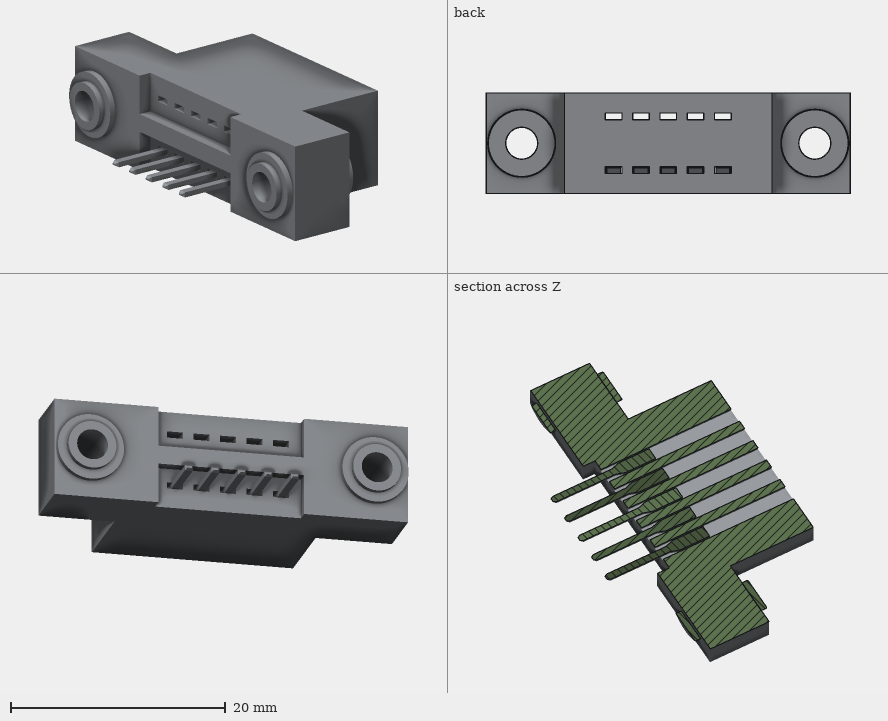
import cadquery as cq


housing_width = 33.9
housing_height = 9.4
flange_depth = 6.35
tower_width = 19.3
tower_depth = 8.9
housing_depth = flange_depth + tower_depth

recess_width = 13.97
recess_depth = 1.25
rib_height = 1.75
recess_height = (housing_height - rib_height) / 2

contact_count = 5
contact_pitch = 2.55
slot_width = 1.53
slot_height = 0.6
slot_row_z = 2.5
contact_xs = [(i - (contact_count - 1) / 2) * contact_pitch for i in range(contact_count)]

blade_width = 1.32
tail_width = 0.75
contact_thickness = 0.5
tail_reach = 4.45
tip_length = 0.3
tip_width = 0.4
tip_thickness = 0.17
shoulder_start = 2.2
shoulder_length = 0.88
blade_end = flange_depth
contact_z = -slot_row_z - (slot_height - contact_thickness) / 2

bushing_spacing = 27.3
bushing_bore = 2.95
shank_diameter = 3.45
collar_diameter = 6.35
collar_thickness = 0.6
collar_gap = 0.17
step_diameter = 4.58
step_length = 0.6
collar_chamfer = 0.07
bushing_xs = [-bushing_spacing / 2, bushing_spacing / 2]


def box_between(x_center, width, y_front, y_back, z_center, height):
    """Box given by its X and Z centres and its two Y ends."""
    depth = y_back - y_front
    center = (x_center, y_front + depth / 2, z_center)
    return cq.Workplane("XY").box(width, depth, height).translate(center)


def y_cylinder(x, diameter, y_front, y_back):
    """Cylinder along Y, at mid height."""
    front_plane = cq.Workplane("XZ", origin=(x, y_front, 0))
    return front_plane.circle(diameter / 2).extrude(y_front - y_back)


def make_housing():
    flange = box_between(0, housing_width, 0, flange_depth, 0, housing_height)
    tower = box_between(0, tower_width, flange_depth, housing_depth, 0, housing_height)
    body = flange.union(tower)
    for side in (1, -1):
        recess_z = side * (rib_height + recess_height) / 2
        body = body.cut(box_between(0, recess_width, 0, recess_depth, recess_z, recess_height))
        for x in contact_xs:
            body = body.cut(box_between(x, slot_width, 0, housing_depth, side * slot_row_z, slot_height))
    for x in bushing_xs:
        body = body.cut(y_cylinder(x, shank_diameter, 0, flange_depth))
    return body


def make_contact(x):
    """Wide blade inside the slot, sloping shoulders, narrow tail and tapered tip."""
    tail_end = tip_length - tail_reach
    shoulder_end = shoulder_start + shoulder_length
    outline = [
        (-tail_width / 2, tail_end),
        (tail_width / 2, tail_end),
        (tail_width / 2, shoulder_start),
        (blade_width / 2, shoulder_end),
        (blade_width / 2, blade_end),
        (-blade_width / 2, blade_end),
        (-blade_width / 2, shoulder_end),
        (-tail_width / 2, shoulder_start),
    ]
    strip = cq.Workplane("XY").polyline(outline).close().extrude(contact_thickness / 2, both=True)
    tip = (
        cq.Workplane("XZ", origin=(0, tail_end, 0))
        .rect(tail_width, contact_thickness)
        .workplane(offset=tip_length)
        .rect(tip_width, tip_thickness)
        .loft(ruled=True)
    )
    return strip.union(tip).translate((x, 0, contact_z))


def make_bushing(x):
    """Hollow rivet: shank through the flange, a collar at each end and a front step."""
    collar_back = -collar_gap
    collar_front = collar_back - collar_thickness
    step_front = collar_front - step_length
    rear_end = flange_depth + collar_thickness
    rear_collar = y_cylinder(x, collar_diameter, flange_depth, rear_end).faces(">Y").chamfer(collar_chamfer)
    return (
        y_cylinder(x, shank_diameter, collar_back, flange_depth)
        .union(y_cylinder(x, collar_diameter, collar_front, collar_back))
        .union(y_cylinder(x, step_diameter, step_front, collar_front))
        .union(rear_collar)
        .cut(y_cylinder(x, bushing_bore, step_front, rear_end))
    )


housing = make_housing()
contacts = [make_contact(x) for x in contact_xs]
bushings = [make_bushing(x) for x in bushing_xs]

bodies = [housing, *contacts, *bushings]
result = cq.Compound.makeCompound([body.val() for body in bodies])